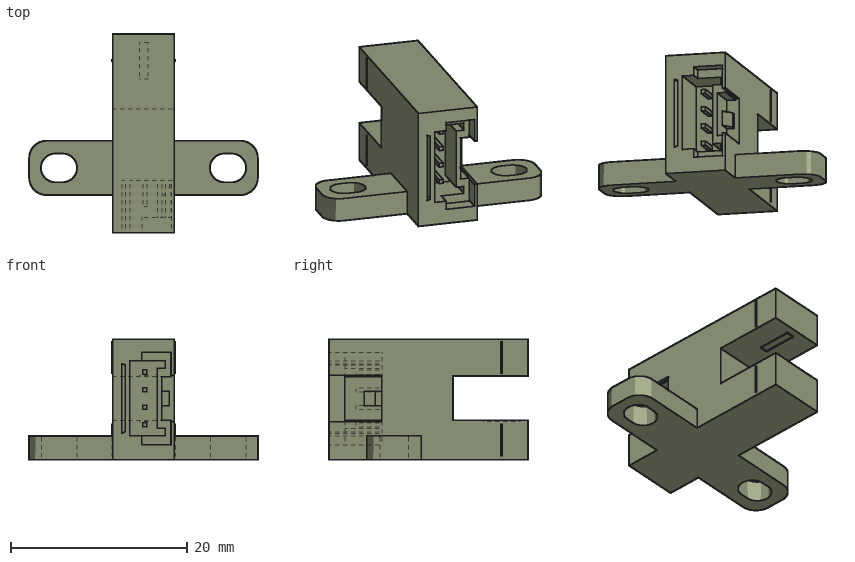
import cadquery as cq


body_width = 7.0
body_length = 22.6
body_height = 13.7

lower_jaw_height = 4.5
gap_height = 5.0
gap_depth = 8.5
upper_jaw_bottom = lower_jaw_height + gap_height
upper_jaw_height = body_height - upper_jaw_bottom

plate_length = 26
plate_width = 6.2
plate_thickness = 2.7
plate_front = 4.3
plate_corner_radius = 2.0
mount_slot_length = 4.08
mount_slot_width = 3.22
mount_slot_offset = 9.6
plate_center_y = plate_front + plate_width / 2

optics_from_back = 3.02
optics_y = body_length - optics_from_back
window_width = 1.0
window_length = 4.1
window_depth = 0.1
rib_radius = 0.1
rib_height = 3.6

socket_center_z = 6.97
socket_height = 10.5
socket_depth = 6.0
socket_left = -2.47
pocket_right = 3.17
shell_right = 3.1
side_notch_height = 5.25

front_lip_right = -0.2
shell_setback = 1.8
cavity_left = -1.53
cavity_right = 2.47
cavity_height = 8.53
inner_wall_left = 1.53
inner_wall_right = 2.08
inner_wall_height = 6.8
shell_notch_height = 4.95

groove_width = 0.4
groove_height = 7.9
groove_end_taper = 0.15

latch_start = 4.0
latch_rise = 0.85
latch_run = 1.25
latch_height = 1.66

pin_count = 4
pin_pitch = 2.0
pin_size = 0.47
pin_length = 3.0
pin_x = 0.13


def block(x_min, x_max, y_min, y_max, z_min, z_max):
    """Box given by its limits along each axis."""
    size = (x_max - x_min, y_max - y_min, z_max - z_min)
    return cq.Workplane("XY").box(*size, centered=False).translate((x_min, y_min, z_min))


def socket_block(x_min, x_max, y_min, y_max, height, center_z=socket_center_z):
    """Box centred in Z on the socket, or on another given height."""
    return block(x_min, x_max, y_min, y_max, center_z - height / 2, center_z + height / 2)


def make_plate():
    plate = (
        cq.Workplane("XY")
        .rect(plate_length, plate_width)
        .extrude(plate_thickness)
        .edges("|Z")
        .fillet(plate_corner_radius)
    )
    mount_slots = (
        cq.Workplane("XY")
        .pushPoints([(-mount_slot_offset, 0), (mount_slot_offset, 0)])
        .slot2D(mount_slot_length, mount_slot_width)
        .extrude(plate_thickness)
    )
    return plate.cut(mount_slots).translate((0, plate_center_y, 0))


def make_housing():
    half_width = body_width / 2
    housing = block(-half_width, half_width, 0, body_length, 0, body_height)
    gap_front = body_length - gap_depth
    gap = block(-half_width, half_width, gap_front, body_length, lower_jaw_height, upper_jaw_bottom)
    return housing.cut(gap)


def make_windows():
    """One cutter that sinks a shallow optical window into both jaws."""
    return (
        cq.Workplane("XY", origin=(0, optics_y, lower_jaw_height - window_depth))
        .rect(window_width, window_length)
        .extrude(gap_height + 2 * window_depth)
    )


def make_ribs():
    """Thin rounded ribs on both sides of each jaw, marking the optical axis."""
    ribs = cq.Workplane("XY")
    for jaw_center_z in (lower_jaw_height / 2, upper_jaw_bottom + upper_jaw_height / 2):
        ribs = ribs.union(
            cq.Workplane("XY", origin=(0, optics_y, jaw_center_z - rib_height / 2))
            .pushPoints([(-body_width / 2, 0), (body_width / 2, 0)])
            .circle(rib_radius)
            .extrude(rib_height)
        )
    return ribs


def make_socket_pocket():
    """Pocket in the front face, with a notch out through the +X wall."""
    pocket = socket_block(socket_left, pocket_right, 0, socket_depth, socket_height)
    side_notch = socket_block(socket_left, body_width / 2, 0, socket_depth, side_notch_height)
    return pocket.union(side_notch)


def make_groove():
    half_height = groove_height / 2
    half_floor_height = half_height - groove_end_taper
    return (
        cq.Workplane("XZ", origin=(socket_left, 0, socket_center_z))
        .polyline([
            (0, -half_height),
            (groove_width, -half_floor_height),
            (groove_width, half_floor_height),
            (0, half_height),
        ])
        .close()
        .extrude(-socket_depth)
    )


def make_shell():
    """Socket shell: a lip flush with the front face on the left, the rest set back."""
    lip = socket_block(socket_left, front_lip_right, 0, socket_depth, socket_height)
    main = socket_block(socket_left, shell_right, shell_setback, socket_depth, socket_height)
    cavity = socket_block(cavity_left, cavity_right, 0, socket_depth, cavity_height)
    inner_wall = socket_block(
        inner_wall_left, shell_right, shell_setback, socket_depth, inner_wall_height
    )
    notch = socket_block(inner_wall_right, shell_right, 0, socket_depth, shell_notch_height)
    return lip.union(main).cut(cavity).union(inner_wall).cut(notch).cut(make_groove())


def make_latch():
    latch_top = inner_wall_right + latch_rise
    return (
        cq.Workplane("XY", origin=(0, 0, socket_center_z - latch_height / 2))
        .polyline([
            (inner_wall_right, latch_start),
            (latch_top, latch_start + latch_run),
            (latch_top, socket_depth),
            (inner_wall_right, socket_depth),
        ])
        .close()
        .extrude(latch_height)
    )


def make_pins():
    pins = cq.Workplane("XY")
    pin_left = pin_x - pin_size / 2
    for index in range(pin_count):
        center_z = socket_center_z + (index - (pin_count - 1) / 2) * pin_pitch
        pins = pins.union(
            socket_block(
                pin_left, pin_left + pin_size, socket_depth - pin_length, socket_depth, pin_size, center_z
            )
        )
    return pins


result = (
    make_housing()
    .union(make_plate())
    .union(make_ribs())
    .cut(make_windows())
    .cut(make_socket_pocket())
    .union(make_shell())
    .union(make_latch())
    .union(make_pins())
)